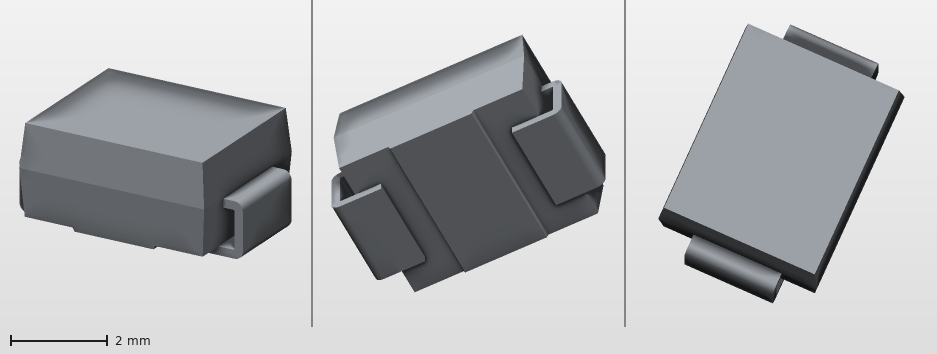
import cadquery as cq

overall_length = 5.35
overall_height = 2.35

housing_length = 4.43
housing_width = 3.6
upper_height = 0.995
lower_height = 1.195
taper_inset = 0.09
parting_z = overall_height - upper_height
standoff_bottom_z = parting_z - lower_height

step_height = 0.085
pad_top_length = 1.97
pad_bottom_length = 1.895

lead_width = 2.0
lead_thickness = 0.2
lead_height = 1.29
right_lead_lift = 0.015
foot_length = 1.15
outer_bend_radius = 0.2
inner_bend_radius = 0.03


def tapered_half(height):
    """Frustum from the parting plane to the given signed height."""
    return (
        cq.Workplane("XY", origin=(0, 0, parting_z))
        .rect(housing_length, housing_width)
        .workplane(offset=height)
        .rect(housing_length - 2 * taper_inset, housing_width - 2 * taper_inset)
        .loft(combine=True)
    )


def underside_step(side):
    """Cutter that raises the underside at one end; side is -1 or 1."""
    step_z = standoff_bottom_z + step_height
    return (
        cq.Workplane("XZ")
        .polyline([
            (side * pad_bottom_length / 2, standoff_bottom_z),
            (side * pad_top_length / 2, step_z),
            (side * overall_length / 2, step_z),
            (side * overall_length / 2, standoff_bottom_z),
        ])
        .close()
        .extrude(housing_width / 2, both=True)
    )


def make_housing():
    body = tapered_half(upper_height).union(tapered_half(-lower_height))
    for side in (-1, 1):
        body = body.cut(underside_step(side))
    return body


def make_lead(side, housing):
    """Bent strip at one end, its upper arm ending flush against the housing wall."""
    outer_x = -overall_length / 2
    strip = (
        cq.Workplane("XY")
        .box(foot_length, lead_width, lead_height, centered=(False, True, False))
        .edges("|Y and <X")
        .fillet(outer_bend_radius)
    )
    opening = (
        cq.Workplane("XY", origin=(lead_thickness, 0, lead_thickness))
        .box(
            foot_length,
            lead_width,
            lead_height - 2 * lead_thickness,
            centered=(False, True, False),
        )
        .edges("|Y and <X")
        .fillet(inner_bend_radius)
    )
    lead = strip.cut(opening).translate((outer_x, 0, 0))
    if side > 0:
        lead = lead.mirror("YZ").translate((0, 0, right_lead_lift))
    trimmed = lead.cut(housing)
    return trimmed.solids("<X" if side < 0 else ">X")


housing = make_housing()
leads = [make_lead(side, housing) for side in (-1, 1)]

result = cq.Compound.makeCompound([housing.val(), *[lead.val() for lead in leads]])